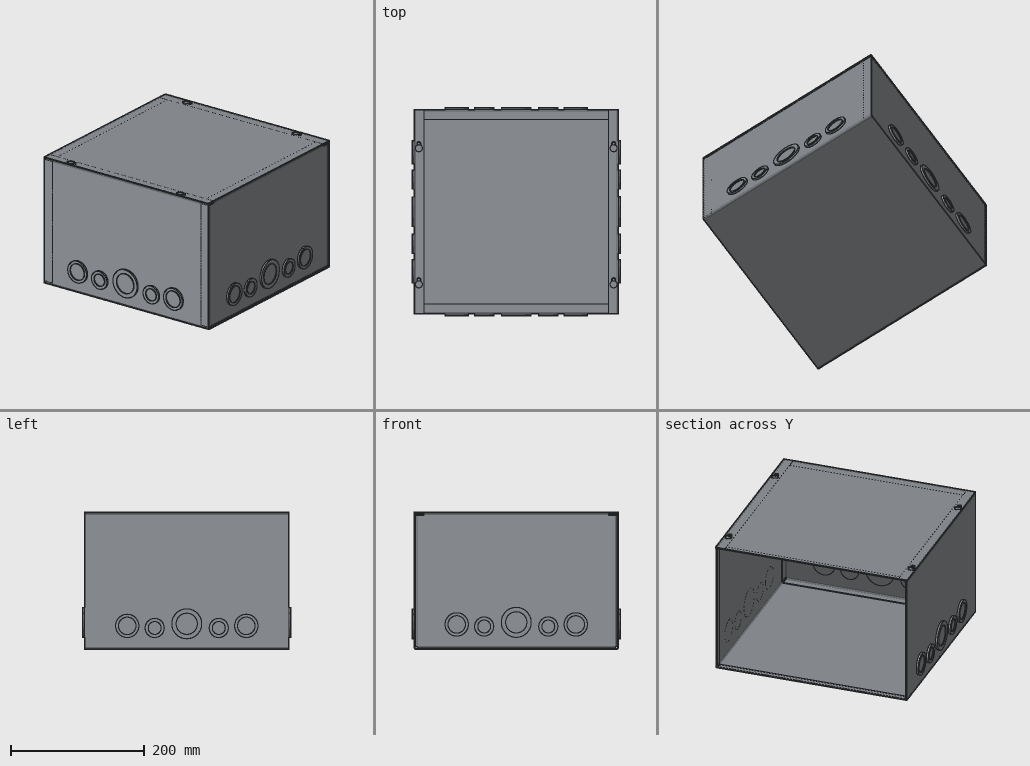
import cadquery as cq

overall_width = 310.7
overall_height = 204.8
sheet = 1.5
bend_radius = 2.2
bottom_bend_radius = 2.35
flange_width = 14.5
panel_clearance = 0.37
flange_notch_gap = 1.5

disc_height = sheet
rim_height = 2 * sheet
big_offset = 0.0
big_height = -64.3
big_outer = 22.5
big_inner = 16.0
small_offset = 48.0
small_height = -70.5
small_outer = 14.3
small_inner = 9.5
medium_offset = 89.0
medium_height = -67.5
medium_outer = 17.5
medium_inner = 13.0
end_panel_raise = 2.2

screw_x = 145.5
screw_y = 101.5
keyhole_drop = 6.8
keyhole_radius = 5.3
slot_radius = 3.0
screw_hole_radius = 2.2

box_width = overall_width - 2 * rim_height
half_width = box_width / 2
top_level = overall_height / 2
bottom_level = -top_level
plate_underside = top_level - sheet
wrap_height = plate_underside - bottom_level
panel_width = box_width - 2 * sheet - 2 * panel_clearance
panel_bottom = bottom_level + sheet + panel_clearance
panel_height = plate_underside - panel_bottom
screw_places = [(x, y) for x in (-screw_x, screw_x) for y in (-screw_y, screw_y)]


def add_knockout(body, plane, offset, height, outer_radius, inner_radius):
    start = cq.Workplane(plane).center(offset, height)
    rim = start.circle(outer_radius).circle(inner_radius).extrude(rim_height)
    disc = start.circle(inner_radius).extrude(disc_height)
    return body.union(rim.union(disc))


def add_knockout_row(body, plane, raise_by=0.0):
    """Adds the five knockouts of one wall: a big one in the middle, then a small and a medium one each side."""
    body = add_knockout(body, plane, big_offset, big_height + raise_by, big_outer, big_inner)
    for side in (-1, 1):
        body = add_knockout(
            body, plane, side * small_offset, small_height + raise_by, small_outer, small_inner
        )
        body = add_knockout(
            body, plane, side * medium_offset, medium_height + raise_by, medium_outer, medium_inner
        )
    return body


def make_back_plate():
    """Flat square sheet with a keyhole near each corner of its left and right edges."""
    base = cq.Workplane("XY").workplane(offset=plate_underside)
    plate = base.rect(box_width, box_width).extrude(sheet)
    for x, y in screw_places:
        head_hole = base.center(x, y - keyhole_drop).circle(keyhole_radius).extrude(sheet)
        slot_end = base.center(x, y).circle(slot_radius).extrude(sheet)
        slot = base.center(x, y - keyhole_drop / 2).rect(2 * slot_radius, keyhole_drop).extrude(sheet)
        plate = plate.cut(head_hole).cut(slot_end).cut(slot)
    return plate


def wrap_block(inset):
    """Block as long as the box, with rounded long edges, lying `inset` inside the wrap's outer faces."""
    return (
        cq.Workplane("XY")
        .box(box_width - 2 * inset, box_width, wrap_height - 2 * inset)
        .edges("|Y and >Z").fillet(bend_radius - inset)
        .edges("|Y and <Z").fillet(bottom_bend_radius - inset)
        .translate((0, 0, (plate_underside + bottom_level) / 2))
    )


def make_wrap():
    """One sheet bent into both X walls, the floor and the two flanges under the back plate."""
    wrap = wrap_block(0).cut(wrap_block(sheet))
    between_flanges = (
        cq.Workplane("XY").rect(box_width - 2 * flange_width, box_width).extrude(overall_height)
    )
    screw_holes = (
        cq.Workplane("XY").pushPoints(screw_places).circle(screw_hole_radius).extrude(overall_height)
    )
    wrap = wrap.cut(between_flanges).cut(screw_holes)
    for side in (-1, 1):
        wall = cq.Plane(origin=(side * half_width, 0, 0), xDir=(0, side, 0), normal=(side, 0, 0))
        wrap = add_knockout_row(wrap, wall)
    return wrap


def panel_block(inset):
    """Block with its outward (-Y) edges rounded, lying `inset` inside the end panel's outer faces."""
    return (
        cq.Workplane("XY")
        .box(panel_width - 2 * inset, flange_width, panel_height - 2 * inset, centered=(True, False, True))
        .faces("<Y").edges().fillet(bend_radius - inset)
        .translate((0, inset - half_width, panel_bottom + panel_height / 2))
    )


def make_end_panel():
    """Pan closing the -Y end: a flat wall with a flange bent back along each of its four edges."""
    panel = panel_block(0).cut(panel_block(sheet))
    top_notch_drop = sheet + flange_notch_gap
    notch_depth = 2 * flange_width
    for side in (-1, 1):
        bottom_notch = (
            cq.Workplane("XY")
            .box(2 * bend_radius, 2 * notch_depth, 2 * bend_radius)
            .translate((side * panel_width / 2, -half_width, panel_bottom))
        )
        wrap_flange_notch = (
            cq.Workplane("XY")
            .box(2 * flange_width, 2 * notch_depth, 2 * top_notch_drop)
            .translate((side * half_width, -half_width, plate_underside))
        )
        panel = panel.cut(bottom_notch).cut(wrap_flange_notch)
    wall = cq.Plane(origin=(0, -half_width, 0), xDir=(1, 0, 0), normal=(0, -1, 0))
    return add_knockout_row(panel, wall, end_panel_raise)


back_plate = make_back_plate()
wrap = make_wrap()
end_panels = [make_end_panel().rotate((0, 0, 0), (0, 0, 1), turn) for turn in (0, 180)]

result = cq.Compound.makeCompound(
    [back_plate.val(), wrap.val(), *[panel.val() for panel in end_panels]]
)